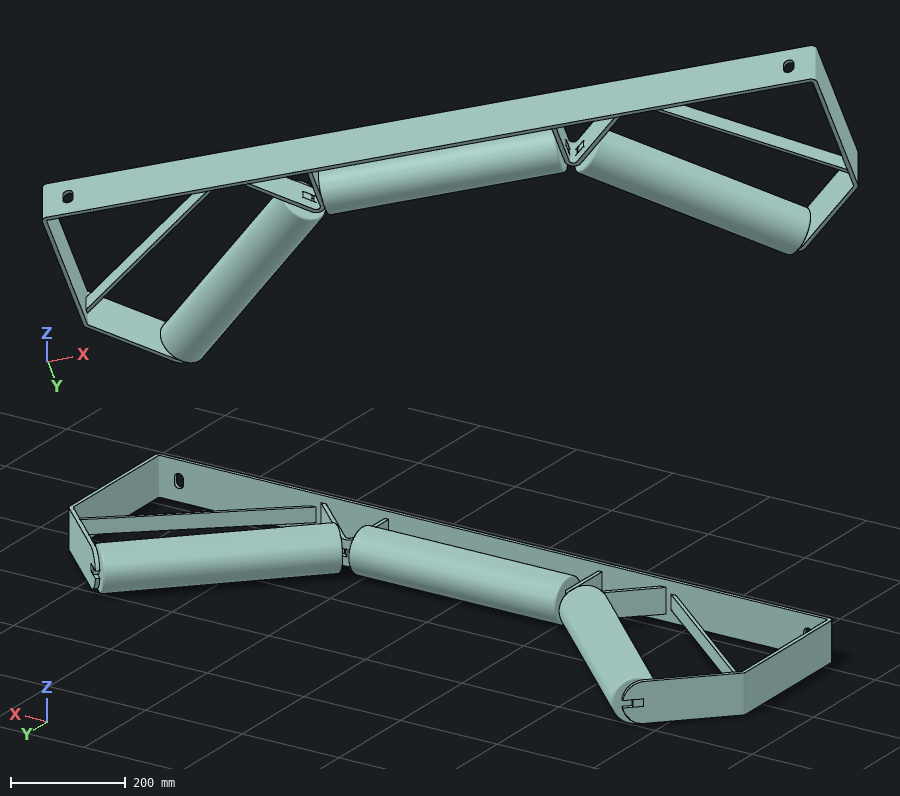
import cadquery as cq
import math

overall_width = 1400.0
frame_width = 80.0
bracket_width = 50.0
thickness = 8.0
frame_bend_radius = 11.0
bracket_bend_radius = 15.0

roller_diameter = 90.0
roller_length = 428.0
roller_edge_radius = 4.0
end_gap = 3.0
tongue_width = 14.0
tongue_height = 18.0

tilt = 45.0
center_axis_y = 100.0
side_axis_x = 406.0
side_axis_y = 266.0

arm_end_above_axis = 28.0
arm_end_radius = 39.0
fixing_slot_width = 18.0
fixing_slot_length = 28.0
fixing_slot_x = 651.0
brace_width = 30.0
brace_thickness = 7.0
brace_foot_x = 372.0
brace_head_y = 280.0

support_offset = roller_length / 2 + end_gap
tongue_reach = support_offset + thickness
cos_tilt = math.cos(math.radians(tilt))
sin_tilt = math.sin(math.radians(tilt))
half_width = overall_width / 2


def side_point(along, above):
    """XY point on the right, measured along the side roller axis and square to it."""
    return (
        side_axis_x + along * cos_tilt - above * sin_tilt,
        side_axis_y + along * sin_tilt + above * cos_tilt,
    )


def mirrored(point):
    """XY point reflected to the other side of the part."""
    return (-point[0], point[1])


def offset_path(points, distance):
    """Open path moved to the left of its direction, with mitred corners."""
    angles = [math.atan2(b[1] - a[1], b[0] - a[0]) for a, b in zip(points, points[1:])]
    before = [angles[0]] + angles
    after = angles + [angles[-1]]
    moved = []
    for (x, y), start, end in zip(points, before, after):
        normal = (start + end) / 2 + math.pi / 2
        reach = distance / math.cos((end - start) / 2)
        moved.append((x + reach * math.cos(normal), y + reach * math.sin(normal)))
    return moved


def bent_bar(outer_path, width, bend_radius):
    """Flat bar on edge, bent to the left along the path of its outer face."""
    inner_path = offset_path(outer_path, thickness)
    bar = (
        cq.Workplane("XY", origin=(0, 0, -width / 2))
        .polyline(outer_path + inner_path[::-1])
        .close()
        .extrude(width)
    )
    for path, radius in ((outer_path, bend_radius), (inner_path, bend_radius - thickness)):
        for x, y in path[1:-1]:
            bar = bar.edges(cq.NearestToPointSelector((x, y, 0))).fillet(radius)
    return bar


def on_side_axis(shape, side):
    """Move a shape lying along X at the origin onto the left (-1) or right (1) roller axis."""
    tilted = shape.rotate((0, 0, 0), (0, 0, 1), side * tilt)
    return tilted.translate((side * side_axis_x, side_axis_y, 0))


def on_center_axis(shape):
    """Move a shape lying along X at the origin onto the center roller axis."""
    return shape.translate((0, center_axis_y, 0))


def make_roller():
    """Roller along X with rounded rims and a flat-sided shaft tongue at each end."""
    shell = (
        cq.Workplane("YZ", origin=(-roller_length / 2, 0, 0))
        .circle(roller_diameter / 2)
        .extrude(roller_length)
        .faces("<X or >X")
        .edges()
        .fillet(roller_edge_radius)
    )
    tongue = cq.Workplane("XY").box(2 * tongue_reach, tongue_height, tongue_width)
    return shell.union(tongue)


def tongue_slot():
    """Cutter for a pair of shaft slots, open on the +Y side."""
    depth = tongue_height / 2 + roller_diameter / 2
    cutter = cq.Workplane("XY").box(2 * tongue_reach, depth, tongue_width)
    return cutter.translate((0, (depth - tongue_height) / 2, 0))


def make_frame():
    """Base, two uprights and two tilted arms, bent from one bar."""
    arm_tip = side_point(tongue_reach, arm_end_above_axis)
    corner_y = arm_tip[1] - (half_width - arm_tip[0]) / math.tan(math.radians(tilt))
    right_half = [(half_width, 0), (half_width, corner_y), arm_tip]
    left_half = [mirrored(point) for point in reversed(right_half)]
    frame = bent_bar(left_half + right_half, frame_width, frame_bend_radius)

    tip_x, tip_y = side_point(tongue_reach - thickness / 2, arm_end_above_axis)
    for side in (-1, 1):
        for edge_z in (-frame_width / 2, frame_width / 2):
            tip_edge = cq.NearestToPointSelector((side * tip_x, tip_y, edge_z))
            frame = frame.edges(tip_edge).fillet(arm_end_radius)
        frame = frame.cut(on_side_axis(tongue_slot(), side))

    fixing_slots = (
        cq.Workplane("XZ")
        .pushPoints([(-fixing_slot_x, 0), (fixing_slot_x, 0)])
        .slot2D(fixing_slot_length, fixing_slot_width, 90)
        .extrude(-thickness)
    )
    return frame.cut(fixing_slots)


def make_bracket(side):
    """Folded bracket carrying the center roller and the low end of a side roller."""
    leg_x, leg_y = side_point(-support_offset, 0)
    apex_y = leg_y + (leg_x - support_offset) / math.tan(math.radians(tilt))
    tilted_foot = (support_offset + apex_y * math.tan(math.radians(tilt)), 0)
    bracket = bent_bar(
        [tilted_foot, (support_offset, apex_y), (support_offset, 0)],
        bracket_width,
        bracket_bend_radius,
    )
    base_space = cq.Workplane("XY").box(overall_width, 2 * thickness, bracket_width)
    bracket = bracket.cut(base_space).cut(on_center_axis(tongue_slot()))
    bracket = bracket.cut(on_side_axis(tongue_slot(), 1))
    return bracket if side > 0 else bracket.mirror("YZ")


def make_brace(side):
    """Narrow diagonal bar between an upright and the base."""
    head_x = half_width - thickness
    slope = math.atan2(brace_head_y - thickness, head_x - brace_foot_x)
    half_rise = brace_thickness / 2 / math.cos(slope)
    half_run = brace_thickness / 2 / math.sin(slope)
    return (
        cq.Workplane("XY", origin=(0, 0, -brace_width / 2))
        .moveTo(side * head_x, brace_head_y + half_rise)
        .lineTo(side * head_x, brace_head_y - half_rise)
        .lineTo(side * (brace_foot_x + half_run), thickness)
        .lineTo(side * (brace_foot_x - half_run), thickness)
        .close()
        .extrude(brace_width)
    )


frame = make_frame()
brackets = [make_bracket(side) for side in (-1, 1)]
braces = [make_brace(side) for side in (-1, 1)]
center_roller = on_center_axis(make_roller())
side_rollers = [on_side_axis(make_roller(), side) for side in (-1, 1)]

bodies = [frame, *brackets, *braces, center_roller, *side_rollers]
result = cq.Compound.makeCompound([body.val() for body in bodies])